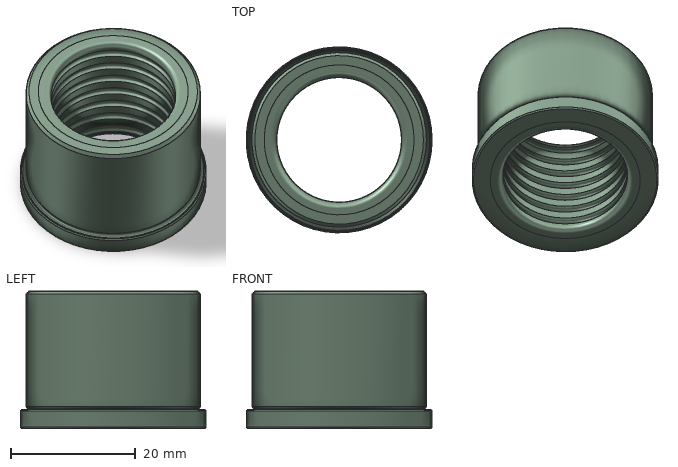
import cadquery as cq

flange_radius = 14.9
total_height = 22.0

body_radius = 13.98
liner_outer_radius = 12.0
flange_height = 3.0
flange_chamfer = 0.2
body_chamfer = 0.48

relief_face_radius = 14.5
relief_slope_radius = 14.2
relief_depth = 0.2
relief_height = 0.5
relief_neck_radius = 13.62
relief_neck_height = 0.05
relief_floor_radius = 13.77
relief_floor_depth = 0.18

bore_radius = 9.98
lip_radius = 1.0
groove_count = 7
groove_pitch = 3.0
groove_radius = 0.75


def make_sleeve():
    """Flanged sleeve, turned from half of its cross-section."""
    flange_edge = flange_radius - flange_chamfer
    profile = (
        cq.Workplane("XZ")
        .moveTo(liner_outer_radius, 0)
        .lineTo(flange_edge, 0)
        .lineTo(flange_radius, flange_chamfer)
        .lineTo(flange_radius, flange_height - flange_chamfer)
        .lineTo(flange_edge, flange_height)
        .lineTo(relief_face_radius, flange_height)
        .lineTo(relief_slope_radius, flange_height - relief_depth)
        .threePointArc(
            (relief_floor_radius, flange_height - relief_floor_depth),
            (relief_neck_radius, flange_height + relief_neck_height),
        )
        .lineTo(body_radius, flange_height + relief_height)
        .lineTo(body_radius, total_height - body_chamfer)
        .lineTo(body_radius - body_chamfer, total_height)
        .lineTo(liner_outer_radius, total_height)
        .close()
    )
    return profile.revolve(360, (0, 0, 0), (0, 1, 0))


def make_groove(center_height):
    """Ring that cuts one half-round groove into the bore."""
    return cq.Solid.makeTorus(bore_radius, groove_radius, cq.Vector(0, 0, center_height))


def make_liner():
    """Liner with rounded bore ends and evenly spaced half-round grooves."""
    liner = (
        cq.Workplane("XY")
        .circle(liner_outer_radius)
        .circle(bore_radius)
        .extrude(total_height)
        .edges(cq.selectors.RadiusNthSelector(0))
        .fillet(lip_radius)
    )
    lowest_groove = (total_height - (groove_count - 1) * groove_pitch) / 2
    for index in range(groove_count):
        liner = liner.cut(cq.Workplane(make_groove(lowest_groove + index * groove_pitch)))
    return liner


sleeve = make_sleeve()
liner = make_liner()
result = cq.Compound.makeCompound([sleeve.val(), *liner.solids().vals()])